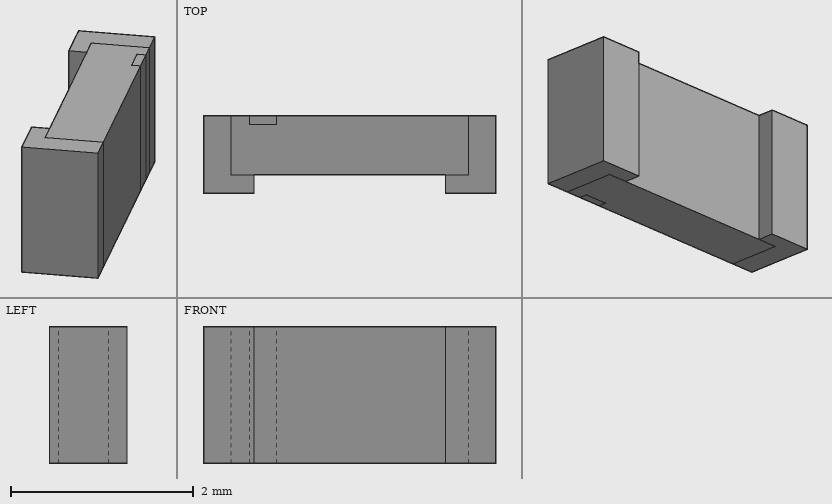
import cadquery as cq

LENGTH = 3.2
DEPTH = 0.85
HEIGHT = 1.5

END_WALL = 0.3
FOOT_LENGTH = 0.555
FOOT_THICKNESS = 0.2

MARKER_START = 0.5
MARKER_LENGTH = 0.3
MARKER_DEPTH = 0.1

END_X = LENGTH / 2
BODY_END_X = END_X - END_WALL
FOOT_END_X = END_X - FOOT_LENGTH
FRONT_Y = -DEPTH / 2
BACK_Y = DEPTH / 2
BODY_FRONT_Y = FRONT_Y + FOOT_THICKNESS
MARKER_LEFT_X = -END_X + MARKER_START


def full_height_block(x_min, x_max, y_min, y_max):
    """Box between the given sides, running the full height of the part."""
    return (
        cq.Workplane("XY")
        .box(x_max - x_min, y_max - y_min, HEIGHT, centered=(False, False, True))
        .translate((x_min, y_min, 0))
    )


def make_marker():
    """Strip flush with the back face of the body."""
    return full_height_block(
        MARKER_LEFT_X, MARKER_LEFT_X + MARKER_LENGTH, BACK_Y - MARKER_DEPTH, BACK_Y
    )


def make_body():
    """Central block with a groove that receives the marker."""
    block = full_height_block(-BODY_END_X, BODY_END_X, BODY_FRONT_Y, BACK_Y)
    return block.cut(make_marker())


def make_terminal(side):
    """L-shaped end cap; side is -1 for the left end and +1 for the right."""
    profile = [
        (side * END_X, BACK_Y),
        (side * END_X, FRONT_Y),
        (side * FOOT_END_X, FRONT_Y),
        (side * FOOT_END_X, BODY_FRONT_Y),
        (side * BODY_END_X, BODY_FRONT_Y),
        (side * BODY_END_X, BACK_Y),
    ]
    return cq.Workplane("XY").polyline(profile).close().extrude(HEIGHT / 2, both=True)


body = make_body()
marker = make_marker()
terminals = [make_terminal(side) for side in (-1, 1)]

result = cq.Compound.makeCompound(
    [body.val(), marker.val(), *[terminal.val() for terminal in terminals]]
)